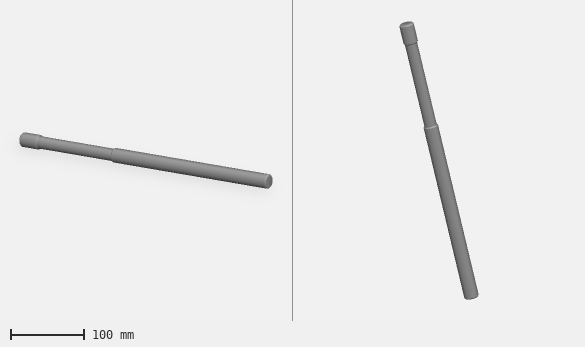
import cadquery as cq

total_length = 400.0
body_diameter = 20.0

head_length = 28.5
shank_length = 251.5

rim_chamfer = 1.5

neck_diameter = body_diameter - 2 * rim_chamfer


def cylinder_along_x(start, length, diameter):
    """Solid cylinder on the X axis beginning at the given X position."""
    return cq.Workplane("YZ").workplane(offset=start).circle(diameter / 2).extrude(length)


def chamfered_cylinder(start, length):
    """Full-diameter cylinder with both rims chamfered."""
    cylinder = cylinder_along_x(start, length, body_diameter)
    return cylinder.faces("<X or >X").edges().chamfer(rim_chamfer)


x_start = -total_length / 2
neck_start = x_start + head_length
shank_start = x_start + total_length - shank_length

head = chamfered_cylinder(x_start, head_length)
neck = cylinder_along_x(neck_start, shank_start - neck_start, neck_diameter)
shank = chamfered_cylinder(shank_start, shank_length)

result = head.union(neck).union(shank)